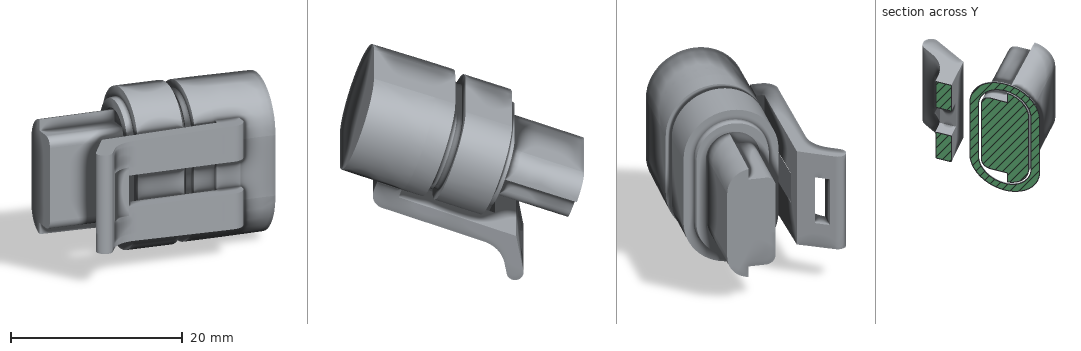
import cadquery as cq
import math

LENGTH = 27.1
BIG = 54.2

SLEEVE_FRONT = 9.1
COLLAR_FRONT = 9.92
COLLAR_REAR = 15.66
RIDGE_FRONT = 16.37
HOUSING_FRONT = 17.07
HOUSING_SPLIT = 19.62

CORE_STRAIGHT = 4.15
COLLAR_RADIUS = 5.7
RIDGE_RADIUS = 4.6
SLEEVE_RADIUS = 4.47
SLEEVE_END_RADIUS = 4.34
POCKET_RADIUS = 3.22
POCKET_DEPTH = 0.27
HOUSING_STRAIGHT = 3.7
HOUSING_RADIUS = 6.0
HOUSING_REAR_RADIUS = 5.9
HOUSING_X = -0.08
HOUSING_FLAT_X = 5.4

TOWER_ROOT_RADIUS = 2.98
TOWER_TIP_RADIUS = 2.9
STEP_X = -0.33
STEP_HALF_HEIGHT = 5.66
STEP_CORNER_RADIUS = 1.15

ROOT_HALF_HEIGHT = 6.31
ROOT_REAR = 22.63
ROOT_OUTER_X = 8.35
ROOT_RADIUS = 1.7
TAIL_HALF_HEIGHT = 6.0
ARM_THICKNESS = 1.98
ARM_LEAN = 0.3
BEND_Y = 4.99
BEND_RADIUS = 3.8
TAIL_ANGLE = math.radians(30)
TAIL_END_X = 12.2
ARM_WINDOW_X = 6.02
ARM_WINDOW_FRONT = 7.65
ARM_WINDOW_HALF_HEIGHT = 1.95
TAIL_WINDOW_X = 8.6
TAIL_WINDOW_WIDTH = 1.55
TAIL_WINDOW_HALF_HEIGHT = 2.98


def block(x0, x1, y0, y1, half_height):
    """Box between two X and two Y limits, centred on Z = 0."""
    size = (x1 - x0, y1 - y0, 2 * half_height)
    return cq.Workplane("XY").box(*size).translate(((x0 + x1) / 2, (y0 + y1) / 2, 0))


def obround(y0, y1, radius0, radius1, straight=CORE_STRAIGHT, x=0.0):
    """Upright obround from y0 to y1, tapered from radius0 to radius1."""
    length = y1 - y0
    taper = math.degrees(math.atan2(radius0 - radius1, length))
    plane = cq.Plane(origin=(x, y0, 0), xDir=(1, 0, 0), normal=(0, 1, 0))
    sketch = cq.Workplane(plane).slot2D(2 * (straight + radius0), 2 * radius0, 90)
    return sketch.extrude(length, taper=taper)


def make_housing():
    front = obround(
        HOUSING_FRONT, HOUSING_SPLIT, HOUSING_RADIUS, HOUSING_RADIUS, HOUSING_STRAIGHT, HOUSING_X
    )
    rear = obround(
        HOUSING_SPLIT, LENGTH, HOUSING_RADIUS, HOUSING_REAR_RADIUS, HOUSING_STRAIGHT, HOUSING_X
    )
    front = front.cut(block(HOUSING_FLAT_X, BIG, 0, HOUSING_SPLIT, BIG))
    return front.union(rear)


def make_core():
    ridge = obround(RIDGE_FRONT, HOUSING_FRONT, RIDGE_RADIUS, RIDGE_RADIUS)
    neck = obround(COLLAR_REAR, RIDGE_FRONT, SLEEVE_RADIUS, SLEEVE_END_RADIUS)
    collar = obround(COLLAR_FRONT, COLLAR_REAR, COLLAR_RADIUS, COLLAR_RADIUS)
    nose = obround(SLEEVE_FRONT, COLLAR_FRONT, SLEEVE_END_RADIUS, SLEEVE_RADIUS)
    pocket_floor = SLEEVE_FRONT + POCKET_DEPTH
    pocket = obround(SLEEVE_FRONT, pocket_floor, POCKET_RADIUS, POCKET_RADIUS)
    return ridge.union(neck).union(collar).union(nose).cut(pocket)


def make_tower():
    """Tapered tower whose latch side steps down to a lower, round-cornered block."""
    root_y = SLEEVE_FRONT + POCKET_DEPTH
    tall_side = obround(0, root_y, TOWER_TIP_RADIUS, TOWER_ROOT_RADIUS)
    tall_side = tall_side.cut(block(STEP_X, BIG, -BIG, BIG, BIG))
    low_side = block(STEP_X, TOWER_TIP_RADIUS, 0, root_y, STEP_HALF_HEIGHT)
    low_side = low_side.edges("|Y and >X").fillet(STEP_CORNER_RADIUS)
    return tall_side.union(low_side)


def make_latch():
    root = block(HOUSING_FLAT_X, ROOT_OUTER_X, HOUSING_SPLIT, ROOT_REAR, ROOT_HALF_HEIGHT)
    root = root.edges("|Z and >X and >Y").fillet(ROOT_RADIUS)

    tip_radius = ARM_THICKNESS / 2
    inner_x = ROOT_OUTER_X - ARM_THICKNESS
    bend_x = inner_x + ARM_LEAN
    along = (math.cos(TAIL_ANGLE), -math.sin(TAIL_ANGLE))
    across = (math.sin(TAIL_ANGLE), math.cos(TAIL_ANGLE))
    tip_x = TAIL_END_X - tip_radius
    tail_length = (tip_x - bend_x - tip_radius * across[0]) / along[0]

    def tail_point(distance, offset):
        x = bend_x + distance * along[0] + offset * across[0]
        y = BEND_Y + distance * along[1] + offset * across[1]
        return (x, y)

    lean = ARM_LEAN / (HOUSING_SPLIT - BEND_Y)
    tail_start = tail_point(0, ARM_THICKNESS)
    tail_slope = math.tan(TAIL_ANGLE)
    outer_rise = HOUSING_SPLIT - tail_start[1] - tail_slope * (tail_start[0] - ROOT_OUTER_X)
    corner_y = HOUSING_SPLIT - outer_rise / (1 - tail_slope * lean)
    corner_x = ROOT_OUTER_X + lean * (HOUSING_SPLIT - corner_y)
    arm = (
        cq.Workplane("XY", origin=(0, 0, -ROOT_HALF_HEIGHT))
        .moveTo(inner_x, HOUSING_SPLIT)
        .lineTo(bend_x, BEND_Y)
        .lineTo(*tail_point(tail_length, 0))
        .threePointArc(
            tail_point(tail_length + tip_radius, tip_radius),
            tail_point(tail_length, ARM_THICKNESS),
        )
        .lineTo(corner_x, corner_y)
        .lineTo(ROOT_OUTER_X, HOUSING_SPLIT)
        .close()
        .extrude(2 * ROOT_HALF_HEIGHT)
    )
    outer_corner = cq.selectors.NearestToPointSelector((corner_x, corner_y, 0))
    arm = arm.edges(outer_corner).fillet(BEND_RADIUS)

    envelope = (
        cq.Workplane("YZ")
        .polyline(
            [
                (0, -TAIL_HALF_HEIGHT),
                (HOUSING_SPLIT, -ROOT_HALF_HEIGHT),
                (HOUSING_SPLIT, ROOT_HALF_HEIGHT),
                (0, TAIL_HALF_HEIGHT),
            ]
        )
        .close()
        .extrude(TAIL_END_X)
    )
    latch = root.union(arm.intersect(envelope))

    arm_window = block(ARM_WINDOW_X, BIG, ARM_WINDOW_FRONT, LENGTH, ARM_WINDOW_HALF_HEIGHT)
    tail_window_end = TAIL_WINDOW_X + TAIL_WINDOW_WIDTH
    tail_window = block(
        TAIL_WINDOW_X, tail_window_end, 0, ARM_WINDOW_FRONT, TAIL_WINDOW_HALF_HEIGHT
    )
    return latch.cut(arm_window).cut(tail_window)


result = make_housing().union(make_core()).union(make_tower()).union(make_latch())